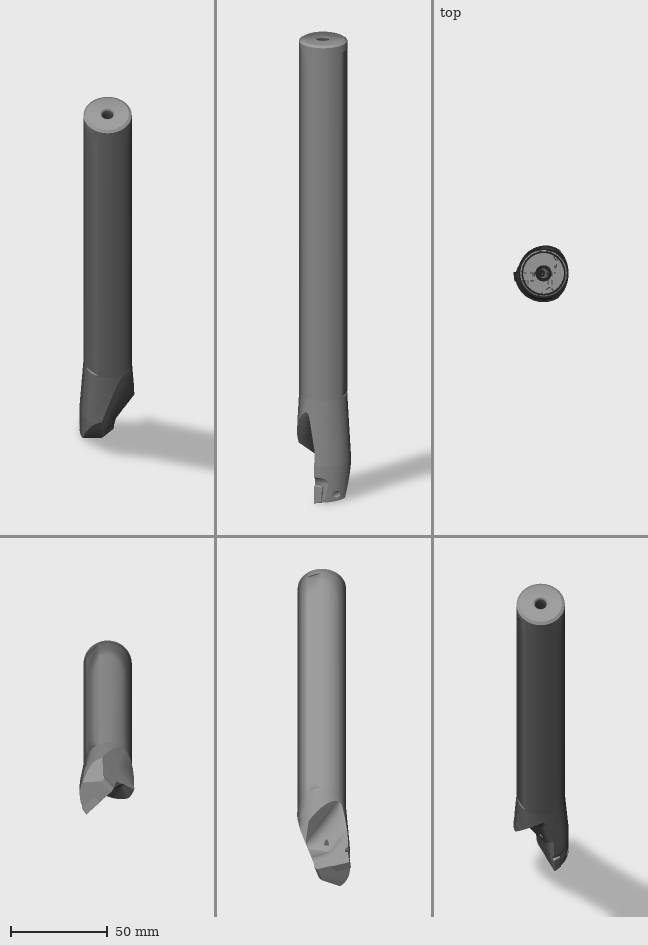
import cadquery as cq
import math

total_length = 250.0
shank_radius = 12.5
shoulder_z = 55.8
flat_distance = 11.8
flat_top_z = 245.0
flat_ledge_height = 0.8
end_chamfer_height = 1.0
end_chamfer_width = 1.5

head_radius = 14.5
cone_bottom_z = 20.2
bottom_angle = 5.0
bottom_gap = 0.5

relief_top = (12.5, 54.5)
relief_middle = (8.8, 30.0)
relief_bottom = (4.2, 7.2)
relief_corner = (1.5, 1.5)
relief_corner_middle = (3.5, 3.5)

slant_offset = -8.5
slant_x_slope = 0.85
slant_z_slope = -0.45

rake_y = 0.2
pocket_floor_z = 30.0
pocket_floor_slope = 1.6
pocket_wall_rise = 4.0
pocket_wall_width = 12.5
pocket_fillet = 3.0
nose_start_z = 14.0
nose_slope = 0.9

tip_x = -15.2
insert_angle = 80.0
insert_side = 9.8
insert_thickness = 4.0
insert_relief = 7.0
insert_nose_radius = 0.5
screw_hole_radius = 1.8
screw_hole_place = (-10.0, 4.5)

clearance_bottom_x = -13.8
clearance_corner = (-12.8, 11.0)
clearance_arc_middle = (-13.5, 13.2)
clearance_end = (-15.0, 14.5)
clearance_depth = 8.8

socket_radius = 3.0
socket_depth = 20.0
socket_countersink = 0.8
bore_radius = 1.5
bore_start_x = -1.2
bore_end = (-3.0, 0.8, 18.8)

reach = 50.0


def along_y(profile, y_from, y_to):
    """Extrude a closed profile, drawn in X and Z, between two Y positions."""
    return profile.extrude(-(y_to - y_from)).translate((0, y_from, 0))


def profile_xz():
    return cq.Workplane("XZ")


def bottom_z(x):
    """Height of the sloped cutting end of the head."""
    return bottom_gap + (x - tip_x) * math.tan(math.radians(bottom_angle))


def make_blank():
    """Turned shape of shank and head."""
    return (
        profile_xz()
        .moveTo(0, 0)
        .lineTo(head_radius, 0)
        .lineTo(head_radius, cone_bottom_z)
        .lineTo(shank_radius, shoulder_z)
        .lineTo(shank_radius, total_length - end_chamfer_height)
        .lineTo(shank_radius - end_chamfer_width, total_length)
        .lineTo(0, total_length)
        .close()
        .revolve(360, (0, 0), (0, 1))
    )


def make_flat_cut(side):
    """Prism that cuts one shank flat; side is +1 or -1 along Y."""
    profile = cq.Workplane("YZ").polyline(
        [
            (side * flat_distance, flat_top_z),
            (side * flat_distance, shoulder_z + flat_ledge_height),
            (side * shank_radius, shoulder_z),
            (side * reach, shoulder_z),
            (side * reach, flat_top_z),
        ]
    )
    return profile.close().extrude(reach, both=True)


def make_bottom_cut():
    profile = profile_xz().polyline(
        [(-reach, bottom_z(-reach)), (reach, bottom_z(reach)), (reach, -reach), (-reach, -reach)]
    )
    return along_y(profile.close(), -reach, reach)


def make_relief_cut():
    profile = (
        profile_xz()
        .moveTo(*relief_top)
        .threePointArc(relief_middle, relief_bottom)
        .threePointArc(relief_corner_middle, relief_corner)
        .lineTo(relief_corner[0], -reach)
        .lineTo(reach, -reach)
        .lineTo(reach, relief_top[1])
        .close()
    )
    return along_y(profile, -reach, reach)


def make_slant_cut():
    """Block lying outside the slanted face."""
    face_plane = cq.Plane(
        origin=(0, slant_offset, 0),
        xDir=(1, slant_x_slope, 0),
        normal=(slant_x_slope, -1, slant_z_slope),
    )
    return cq.Workplane(face_plane).rect(2 * reach, 2 * reach).extrude(reach)


def make_chip_pocket():
    """Channel along the sloped floor, with a sloped wall and a rounded inner corner."""
    section_plane = cq.Plane(
        origin=(0, rake_y, pocket_floor_z),
        xDir=(-pocket_floor_slope, 0, -1),
        normal=(1, 0, -pocket_floor_slope),
    )
    section = cq.Workplane(section_plane).polyline(
        [
            (0, pocket_wall_rise),
            (pocket_wall_width, 0),
            (2 * reach, 0),
            (2 * reach, reach),
            (0, reach),
        ]
    )
    pocket = section.close().extrude(2 * reach, both=True)
    inner_corner = cq.selectors.NearestToPointSelector((0, rake_y + pocket_wall_rise, pocket_floor_z))
    return pocket.edges(inner_corner).fillet(pocket_fillet)


def make_nose_cut():
    """Space below the sloped nose underside, on the +Y side of the rake plane."""
    end_y = rake_y + reach
    end_z = nose_start_z + nose_slope * reach
    profile = cq.Workplane("YZ").polyline(
        [(rake_y, nose_start_z), (end_y, end_z), (end_y, -reach), (rake_y, -reach)]
    )
    return profile.close().extrude(reach, both=True)


def make_clearance_cut():
    profile = (
        profile_xz()
        .moveTo(clearance_bottom_x, 0)
        .lineTo(*clearance_corner)
        .threePointArc(clearance_arc_middle, clearance_end)
        .lineTo(-reach, clearance_end[1])
        .lineTo(-reach, 0)
        .close()
    )
    return along_y(profile, -clearance_depth, rake_y)


def make_coolant_socket():
    socket_floor_z = total_length - socket_depth
    mouth_radius = socket_radius + socket_countersink
    profile = profile_xz().polyline(
        [
            (0, socket_floor_z),
            (socket_radius, socket_floor_z),
            (socket_radius, total_length - socket_countersink),
            (mouth_radius, total_length),
            (0, total_length),
        ]
    )
    return profile.close().revolve(360, (0, 0), (0, 1))


def make_coolant_bore():
    start = cq.Vector(bore_start_x, 0, total_length - socket_depth)
    path = cq.Vector(*bore_end) - start
    return cq.Workplane(cq.Solid.makeCylinder(bore_radius, path.Length, start, path))


def insert_corner(distance, angle):
    """Point at a distance from the insert tip, in a direction above +X."""
    turn = math.radians(angle)
    return (tip_x + distance * math.cos(turn), distance * math.sin(turn))


def make_insert():
    half_angle = insert_angle / 2
    far_distance = 2 * insert_side * math.cos(math.radians(half_angle))
    outline = profile_xz().polyline(
        [
            (tip_x, 0),
            insert_corner(insert_side, bottom_angle),
            insert_corner(far_distance, bottom_angle + half_angle),
            insert_corner(insert_side, bottom_angle + insert_angle),
        ]
    )
    plate = outline.close().extrude(insert_thickness, taper=insert_relief)
    rounded = plate.edges("not(#Y)").fillet(insert_nose_radius)
    return rounded.translate((0, rake_y, 0))


def make_screw_hole():
    """Hole along Y, from under the insert out to the -Y side."""
    profile = profile_xz().center(*screw_hole_place).circle(screw_hole_radius)
    return along_y(profile, -reach, rake_y)


def make_holder(insert):
    holder = make_blank()
    for side in (1, -1):
        holder = holder.cut(make_flat_cut(side))
    holder = holder.cut(make_bottom_cut())
    holder = holder.cut(make_relief_cut())
    holder = holder.cut(make_slant_cut())
    holder = holder.cut(make_chip_pocket())
    holder = holder.cut(make_nose_cut())
    holder = holder.cut(make_clearance_cut())
    holder = holder.cut(make_screw_hole())
    holder = holder.cut(make_coolant_socket())
    holder = holder.cut(make_coolant_bore())
    return holder.cut(insert)


insert = make_insert()
holder = make_holder(insert)
result = cq.Compound.makeCompound([holder.solids().val(), insert.solids().val()])